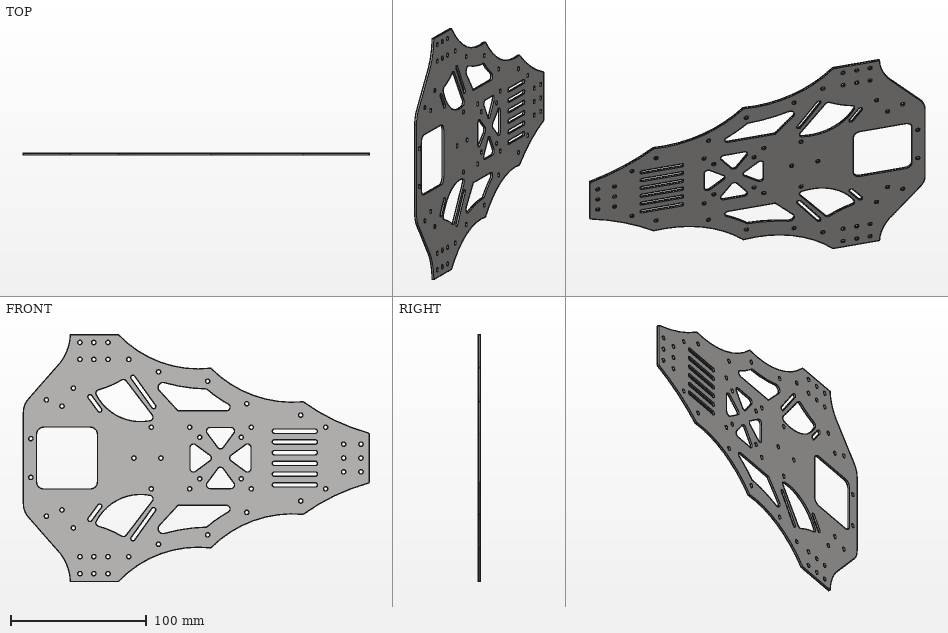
import cadquery as cq
import math

length = 255.0
width = 182.0
thickness = 1.5
half_width = width / 2

rear_corner_z = 39.3
rear_corner_radius = 15.3
flank_end = (27.3, 70.5)
flank_bulge = (32.5, 79.5)
wing_rear_x = 34.7
wing_front_x = 70.0
shoulder_1 = (138.2, 66.3)
shoulder_2 = (206.3, 41.5)
nose_half_width = 18.4
nose_corner_radius = 1.3
nose_scallop_middle = (228.5, 28.3)

scallop_radius = 83.6
scallop_1_center = (130.0, 149.2)
scallop_2_center = (198.6, 124.7)

hole_diameter = 3.0
wing_hole_xs = (41.8, 52.0, 62.5)
wing_hole_zs = (72.7, 85.2)
nose_hole_xs = (236.1, 249.0)
nose_hole_z = 10.2
spine_hole_xs = (81.5, 101.5)
side_holes = [
    (5.5, 14.3),
    (17.0, 42.8),
    (28.5, 38.2),
    (37.0, 51.5),
    (77.8, 72.7),
    (99.7, 63.5),
    (136.0, 56.5),
    (164.7, 40.0),
    (204.5, 31.5),
    (222.9, 22.7),
    (94.4, 22.7),
]

window_rear_x = 10.0
window_length = 44.5
window_width = 45.5
window_radius = 5.0

cross_x = 145.4
triangle_apex = 5.0
triangle_base = 22.5
triangle_half_base = 12.8
pocket_radius = 2.5
cross_hole_offsets = (15.3, 22.7)

slot_width = 3.0
slot_rear_x = 183.5
slot_front_x = 216.8
slot_count = 6
slot_pitch = 8.0

slanted_slots = [
    ((49.2, 45.1), (56.4, 35.5)),
    ((80.8, 59.5), (96.1, 38.0)),
]

fan_rear = (52.5, 49.5)
fan_top = (74.5, 58.6)
fan_front = (97.5, 28.5)
fan_top_bulge = (63.8, 53.0)
fan_bottom_bulge = (64.5, 34.2)

side_rim = 13.8
side_pocket_z = 35.0
side_pocket_rear_x = 114.0
side_pocket_top_x = 90.8
side_pocket_knee_x = 135.2
side_pocket_top_radius = 3.5


def circle_z(center, radius, x):
    """Z of the lower side of a circle at the given X."""
    return center[1] - math.sqrt(radius**2 - (x - center[0])**2)


def mirrored(points):
    """Add the mirror image about Z = 0 of every point."""
    return points + [(x, -z) for x, z in points]


def sketch_plane():
    """Workplane at Y = 0 with sketch axes along X and Z."""
    return cq.Workplane("XZ")


def extrude(sketch):
    """Extrude a closed sketch to the plate thickness, centred on Y = 0."""
    return sketch.extrude(thickness / 2, both=True)


def round_corners(body, corners, radius):
    """Fillet the edges through the plate that stand at the given corners."""
    for x, z in corners:
        body = body.edges("|Y").edges(cq.NearestToPointSelector((x, 0, z))).fillet(radius)
    return body


def with_mirror(body):
    """Join a body with its mirror image about Z = 0."""
    return body.union(body.mirror("XY"))


def half_plate():
    scallop_1_x = (wing_front_x + shoulder_1[0]) / 2
    scallop_2_x = (shoulder_1[0] + shoulder_2[0]) / 2
    rear_corner = (0, rear_corner_z)
    nose_corner = (length, nose_half_width)
    outline = (
        sketch_plane()
        .moveTo(0, 0)
        .lineTo(*rear_corner)
        .lineTo(*flank_end)
        .threePointArc(flank_bulge, (wing_rear_x, half_width))
        .lineTo(wing_front_x, half_width)
        .threePointArc((scallop_1_x, circle_z(scallop_1_center, scallop_radius, scallop_1_x)), shoulder_1)
        .threePointArc((scallop_2_x, circle_z(scallop_2_center, scallop_radius, scallop_2_x)), shoulder_2)
        .threePointArc(nose_scallop_middle, nose_corner)
        .lineTo(length, 0)
        .close()
    )
    body = round_corners(extrude(outline), [rear_corner], rear_corner_radius)
    return round_corners(body, [nose_corner], nose_corner_radius)


def holes():
    points = mirrored(side_holes)
    points += mirrored([(x, z) for x in wing_hole_xs for z in wing_hole_zs])
    points += mirrored([(x, nose_hole_z) for x in nose_hole_xs])
    points += [(x, 0) for x in nose_hole_xs + spine_hole_xs]
    for offset in cross_hole_offsets:
        points += mirrored([(cross_x - offset, offset), (cross_x + offset, offset)])
    return extrude(sketch_plane().pushPoints(points).circle(hole_diameter / 2))


def window():
    center_x = window_rear_x + window_length / 2
    body = extrude(sketch_plane().center(center_x, 0).rect(window_length, window_width))
    return body.edges("|Y").fillet(window_radius)


def cross_pockets():
    outline = sketch_plane().polyline([
        (cross_x + triangle_apex, 0),
        (cross_x + triangle_base, triangle_half_base),
        (cross_x + triangle_base, -triangle_half_base),
    ]).close()
    triangle = extrude(outline).edges("|Y").fillet(pocket_radius)
    pockets = triangle
    for angle in (90, 180, 270):
        pockets = pockets.union(triangle.rotate((cross_x, 0, 0), (cross_x, 1, 0), angle))
    return pockets


def front_slots():
    middle_x = (slot_rear_x + slot_front_x) / 2
    return extrude(
        sketch_plane()
        .center(middle_x, 0)
        .rarray(2.5, slot_pitch, 1, slot_count)
        .slot2D(slot_front_x - slot_rear_x, slot_width)
    )


def slanted_slot(start, end):
    run = end[0] - start[0]
    rise = end[1] - start[1]
    return extrude(
        sketch_plane()
        .center((start[0] + end[0]) / 2, (start[1] + end[1]) / 2)
        .slot2D(math.hypot(run, rise) + slot_width, slot_width, math.degrees(math.atan2(rise, run)))
    )


def fan_pocket():
    outline = (
        sketch_plane()
        .moveTo(*fan_rear)
        .threePointArc(fan_top_bulge, fan_top)
        .lineTo(*fan_front)
        .threePointArc(fan_bottom_bulge, fan_rear)
        .close()
    )
    return extrude(outline).edges("|Y").fillet(pocket_radius)


def side_pocket():
    wall_radius = scallop_radius + side_rim
    drop = scallop_2_center[1] - side_pocket_z
    front_x = scallop_2_center[0] - math.sqrt(wall_radius**2 - drop**2)

    def wall_1(x):
        return (x, circle_z(scallop_1_center, wall_radius, x))

    def wall_2(x):
        return (x, circle_z(scallop_2_center, wall_radius, x))

    top_corner = wall_1(side_pocket_top_x)
    front_corner = (front_x, side_pocket_z)
    outline = (
        sketch_plane()
        .moveTo(side_pocket_rear_x, side_pocket_z)
        .lineTo(*top_corner)
        .threePointArc(wall_1((side_pocket_top_x + side_pocket_knee_x) / 2), wall_2(side_pocket_knee_x))
        .threePointArc(wall_2((side_pocket_knee_x + front_x) / 2), front_corner)
        .close()
    )
    body = round_corners(extrude(outline), [top_corner], side_pocket_top_radius)
    return round_corners(body, [front_corner], pocket_radius)


result = with_mirror(half_plate())
result = result.cut(holes()).cut(window()).cut(cross_pockets()).cut(front_slots())
for slot_start, slot_end in slanted_slots:
    result = result.cut(with_mirror(slanted_slot(slot_start, slot_end)))
result = result.cut(with_mirror(fan_pocket())).cut(with_mirror(side_pocket()))